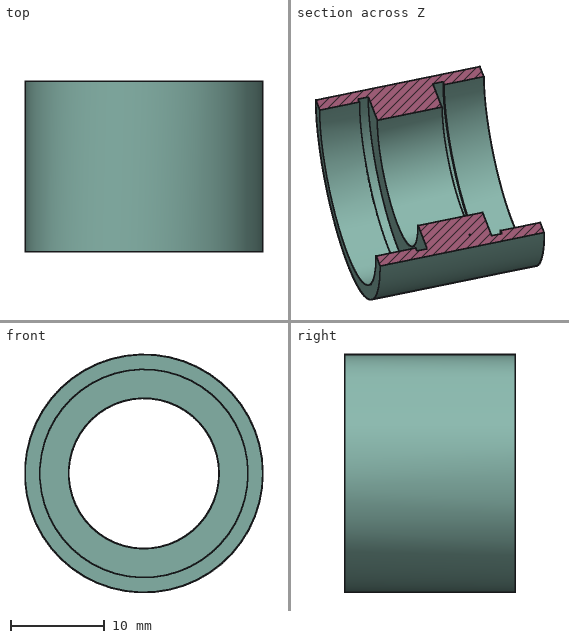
import cadquery as cq

outer_diameter = 25.4
length = 18.2
bore_diameter = 16.0

recess_diameter = 22.2
recess_depth = 5.5
groove_diameter = 23.11
groove_width = 1.1


def cylinder_along_y(diameter, start, height):
    """Solid cylinder about the Y axis, growing toward +Y from start."""
    base = cq.Workplane("XZ", origin=(0, start, 0))
    return base.circle(diameter / 2).extrude(-height)


def front_recess():
    """Material removed at the -Y end: the recess and its undercut groove."""
    front = -length / 2
    groove_start = front + recess_depth - groove_width
    recess = cylinder_along_y(recess_diameter, front, recess_depth)
    groove = cylinder_along_y(groove_diameter, groove_start, groove_width)
    return recess.union(groove)


sleeve = cylinder_along_y(outer_diameter, -length / 2, length)
bore = cylinder_along_y(bore_diameter, -length / 2, length)
recess = front_recess()

result = sleeve.cut(bore).cut(recess).cut(recess.mirror("XZ"))